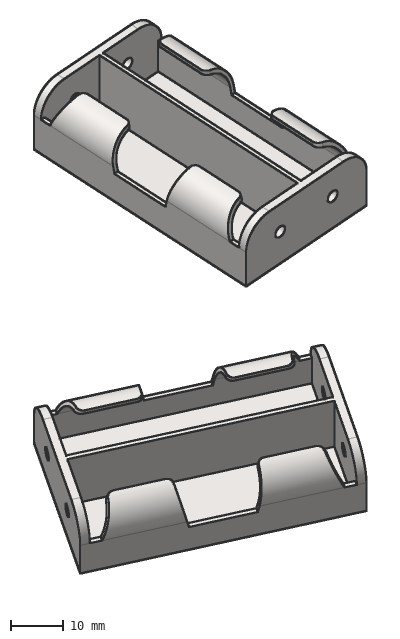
import cadquery as cq

length = 56.9
width = 33.0
height = 15.15

end_wall = 1.95
side_wall = 0.95
divider_wall = 0.95
floor = 0.95
corner_radius = 6.4

notch_half_bottom = 6.8
notch_half_top = 8.5
notch_bottom = 7.05
clip_outer_bottom = 24.1
clip_outer_top = 21.45
clip_tip_radius = 1.3

hole_diameter = 2.6
hole_spacing = 14.35
hole_height = 8.15

inner_length = length - 2 * end_wall
shoulder = height - corner_radius
clip_tip_y = width / 2 - corner_radius

selection_margin = 0.05


def along_x(profile, size):
    """Extrude a YZ profile to the given length, centred on X = 0."""
    return profile.extrude(size / 2, both=True)


def rounded_top_profile(inset):
    """Box outline with rounded upper corners, moved inwards from the outside by an inset."""
    half = width / 2 - inset
    return (
        cq.Workplane("YZ")
        .moveTo(-half, inset)
        .lineTo(half, inset)
        .lineTo(half, shoulder)
        .radiusArc((clip_tip_y, height - inset), -(corner_radius - inset))
        .lineTo(-clip_tip_y, height - inset)
        .radiusArc((-half, shoulder), -(corner_radius - inset))
        .close()
    )


def make_trough():
    """Floor and curled side walls, open at the top between the clip tips."""
    shell = along_x(rounded_top_profile(0), inner_length)
    shell = shell.cut(along_x(rounded_top_profile(side_wall), inner_length))
    mouth = (
        cq.Workplane("XY")
        .workplane(offset=shoulder)
        .rect(inner_length, 2 * clip_tip_y)
        .extrude(corner_radius)
    )
    return shell.cut(mouth)


def across_y(points):
    """Cutter with the given XZ outline that passes through both side walls."""
    return cq.Workplane("XZ").polyline(points).close().extrude(width, both=True)


def cut_clips(trough):
    """Cut the middle notch and the two end gaps, then round the clip tips."""
    notch = across_y([
        (-notch_half_bottom, notch_bottom),
        (notch_half_bottom, notch_bottom),
        (notch_half_top, height),
        (-notch_half_top, height),
    ])
    trough = trough.cut(notch)
    for side in (-1, 1):
        gap = across_y([
            (side * clip_outer_bottom, shoulder),
            (side * inner_length / 2, shoulder),
            (side * inner_length / 2, height),
            (side * clip_outer_top, height),
        ])
        trough = trough.cut(gap)
    tip_faces = trough.faces(cq.selectors.BoxSelector(
        (-length / 2, -clip_tip_y - selection_margin, shoulder),
        (length / 2, clip_tip_y + selection_margin, height),
    ))
    return tip_faces.edges("not |X").fillet(clip_tip_radius)


def make_end_walls():
    """Two plates with rounded upper corners and two contact holes each."""
    plates = along_x(rounded_top_profile(0), length)
    plates = plates.cut(cq.Workplane("XY").rect(inner_length, width).extrude(height))
    holes = (
        cq.Workplane("YZ")
        .pushPoints([(-hole_spacing / 2, hole_height), (hole_spacing / 2, hole_height)])
        .circle(hole_diameter / 2)
    )
    return plates.cut(along_x(holes, length))


divider = cq.Workplane("XY").rect(inner_length, divider_wall).extrude(height)
floor_plate = cq.Workplane("XY").rect(inner_length, width).extrude(floor)

result = make_end_walls().union(cut_clips(make_trough())).union(floor_plate).union(divider)